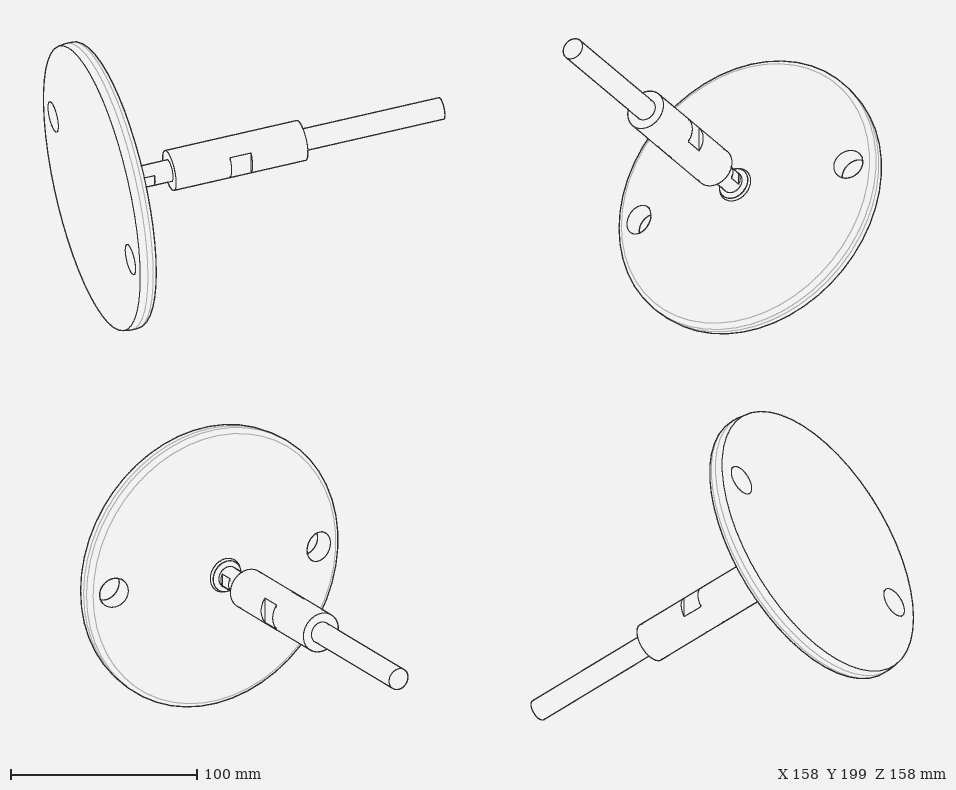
import cadquery as cq
import math


plate_radius = 79.0
plate_face_radius = 78.5
draft_height = 4.2
rim_height = 7.2
rim_rounding = 2.5
cone_base_radius = plate_radius - rim_rounding
cone_base_y = rim_height + rim_rounding
cone_top_radius = 9.5
cone_top_y = 21.0
seat_radius = 7.8
seat_y = 22.3
cone_slope = math.atan2(cone_top_y - cone_base_y, cone_base_radius - cone_top_radius)

hole_diameter = 16.5
hole_offset = 62.5
drill_length = 79.6

overall_length = 199.0
rod_radius = 6.0
collar_radius = 8.8
collar_edge_bottom_y = 22.7
collar_edge_top_y = 22.9
collar_top_y = 24.0
rod_flat_start = 26.0
rod_flat_length = 8.0
rod_flat_half_width = 5.0

sleeve_radius = 11.05
sleeve_start = 44.2
sleeve_length = 75.0
sleeve_flat_length = 12.0
sleeve_flat_start = sleeve_start + (sleeve_length - sleeve_flat_length) / 2
sleeve_flat_half_width = 8.5


def revolve_about_y(profile):
    return profile.close().revolve(360, (0, 0, 0), (0, 1, 0))


def cylinder_along_y(radius, start, length):
    axis = cq.Vector(0, 1, 0)
    return cq.Workplane(cq.Solid.makeCylinder(radius, length, cq.Vector(0, start, 0), axis))


def cut_flats(body, body_radius, half_width, start, length):
    """Cut two opposite wrench flats facing -X and +X."""
    for side in (-1, 1):
        cutter = (
            cq.Workplane()
            .box(body_radius, length, 2 * body_radius)
            .translate((side * (half_width + body_radius / 2), start + length / 2, 0))
        )
        body = body.cut(cutter)
    return body


def make_plate():
    """Conical disc with a drafted lower rim, a rounded upper rim and a seat on top."""
    rounding_mid_shift = rim_rounding * (1 - math.sqrt(0.5))
    profile = (
        cq.Workplane("XY")
        .moveTo(0, 0)
        .lineTo(plate_face_radius, 0)
        .lineTo(plate_radius, draft_height)
        .lineTo(plate_radius, rim_height)
        .threePointArc(
            (plate_radius - rounding_mid_shift, cone_base_y - rounding_mid_shift),
            (cone_base_radius, cone_base_y),
        )
        .lineTo(cone_top_radius, cone_top_y)
        .lineTo(seat_radius, seat_y)
        .lineTo(0, seat_y)
    )
    plate = revolve_about_y(profile)

    for side in (-1, 1):
        axis = cq.Vector(side * math.sin(cone_slope), math.cos(cone_slope), 0)
        start = cq.Vector(side * hole_offset, 0, 0) - axis * (drill_length / 2)
        drill = cq.Solid.makeCylinder(hole_diameter / 2, drill_length, start, axis)
        plate = plate.cut(cq.Workplane(drill))
    return plate


def make_spindle():
    """Long rod with a flared collar standing on the plate's seat."""
    profile = cq.Workplane("XY").polyline([
        (0, seat_y),
        (seat_radius, seat_y),
        (collar_radius, collar_edge_bottom_y),
        (collar_radius, collar_edge_top_y),
        (rod_radius, collar_top_y),
        (rod_radius, overall_length),
        (0, overall_length),
    ])
    spindle = revolve_about_y(profile)
    return cut_flats(spindle, rod_radius, rod_flat_half_width, rod_flat_start, rod_flat_length)


def make_sleeve():
    """Tube around the rod with wrench flats at mid-length."""
    sleeve = cylinder_along_y(sleeve_radius, sleeve_start, sleeve_length)
    sleeve = sleeve.cut(cylinder_along_y(rod_radius, sleeve_start, sleeve_length))
    return cut_flats(sleeve, sleeve_radius, sleeve_flat_half_width, sleeve_flat_start, sleeve_flat_length)


plate = make_plate()
spindle = make_spindle()
sleeve = make_sleeve()
result = cq.Compound.makeCompound([plate.val(), spindle.val(), sleeve.val()])